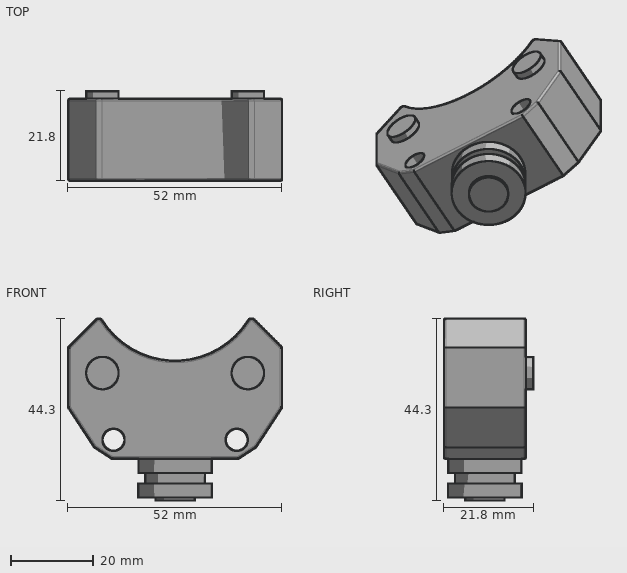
import cadquery as cq
import math

width = 52.0
depth = 19.95
shoulder_z = 27.1
side_bottom_z = 12.5
lower_corner_x = 19.65
lower_corner_z = 2.8
base_half_width = 15.35
edge_round = 0.5

saddle_radius = 21.0
saddle_bottom_z = 23.85
tip_round = 0.95

pin_x = 17.7
pin_z = 20.85
pin_radius = 3.95
pin_height = 1.8
socket_depth = 2.0

hole_x = 15.0
hole_z = 4.65
hole_radius = 2.65

plug_steps = [(8.95, 3.5), (7.3, 2.5), (9.0, 3.45), (4.8, 0.75)]


def make_block():
    half_width = width / 2
    saddle_center_z = saddle_bottom_z + saddle_radius
    shoulder_sum = half_width + shoulder_z
    offset = shoulder_sum - saddle_center_z
    tip_x = (offset + math.sqrt(2 * saddle_radius**2 - offset**2)) / 2
    tip_z = shoulder_sum - tip_x

    block = (
        cq.Workplane("XZ")
        .moveTo(-base_half_width, 0)
        .lineTo(base_half_width, 0)
        .lineTo(lower_corner_x, lower_corner_z)
        .lineTo(half_width, side_bottom_z)
        .lineTo(half_width, shoulder_z)
        .lineTo(tip_x, tip_z)
        .threePointArc((0, saddle_bottom_z), (-tip_x, tip_z))
        .lineTo(-half_width, shoulder_z)
        .lineTo(-half_width, side_bottom_z)
        .lineTo(-lower_corner_x, lower_corner_z)
        .close()
        .extrude(-depth)
    )
    horn_tips = cq.selectors.BoxSelector(
        (-tip_x - tip_round, 0, tip_z - tip_round), (tip_x + tip_round, depth, tip_z + tip_round)
    )
    block = block.edges("|Y").edges(horn_tips).fillet(tip_round)
    return block.faces("<Y or >Y").edges().fillet(edge_round)


def paired_cylinders(x, z, radius, start_y, length):
    """Two mirrored cylinders running along +Y from start_y."""
    return (
        cq.Workplane("XZ", origin=(0, start_y, 0))
        .pushPoints([(-x, z), (x, z)])
        .circle(radius)
        .extrude(-length)
    )


def add_plug(body):
    step_top = 0.0
    for radius, length in plug_steps:
        step = (
            cq.Workplane("XY", origin=(0, depth / 2, step_top))
            .circle(radius)
            .extrude(-length)
        )
        body = body.union(step)
        step_top -= length
    return body


result = make_block()
result = result.union(paired_cylinders(pin_x, pin_z, pin_radius, depth, pin_height))
result = result.cut(paired_cylinders(pin_x, pin_z, pin_radius, 0, socket_depth))
result = result.cut(paired_cylinders(hole_x, hole_z, hole_radius, 0, depth))
result = add_plug(result)